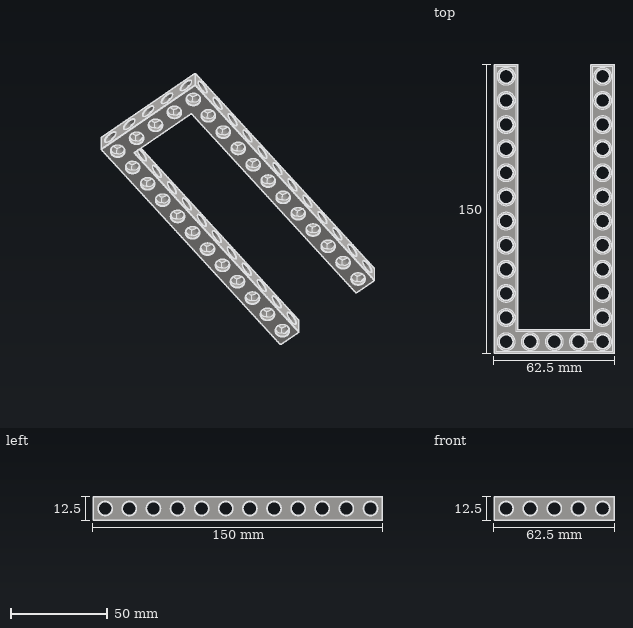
import cadquery as cq
pitch = 12.5
columns = 5
rows = 12
hole_diameter = 7.0
hole_chamfer = 0.3

width = columns * pitch
length = rows * pitch
thickness = pitch
slot_width = width - 2 * pitch
edge_chamfer = 0.3

rim_width = 1.1
relief_depth = 0.2
collar_diameter = 9.2
rib_width = 0.3

mid_height = thickness / 2
column_xs = [(i - (columns - 1) / 2) * pitch for i in range(columns)]
row_ys = [(i - (rows - 1) / 2) * pitch for i in range(rows)]
base_row_y = row_ys[0]
arm_xs = (column_xs[0], column_xs[-1])
base_row = [(x, base_row_y) for x in column_xs]
arm_holes = [(x, y) for x in arm_xs for y in row_ys[1:]]
vertical_holes = base_row + arm_holes


def u_prism(inset, bottom, height):
    """U-shaped prism, open toward +Y, with its outline moved inward by the inset."""
    outer_x = width / 2 - inset
    inner_x = slot_width / 2 + inset
    front_y = -length / 2 + inset
    slot_y = -length / 2 + pitch - inset
    end_y = length / 2 - inset
    outline = [
        (-outer_x, front_y),
        (outer_x, front_y),
        (outer_x, end_y),
        (inner_x, end_y),
        (inner_x, slot_y),
        (-inner_x, slot_y),
        (-inner_x, end_y),
        (-outer_x, end_y),
    ]
    return cq.Workplane("XY", origin=(0, 0, bottom)).polyline(outline).close().extrude(height)


def make_body():
    """Frame with every edge chamfered except the two upright edges in the slot corners."""
    return u_prism(0, 0, thickness).edges("#Z or (|Z and (<Y or >Y))").chamfer(edge_chamfer)


def make_top_relief():
    """Material removed from the top face between the rim, the collars and the rib."""
    floor = thickness - relief_depth
    floor_plane = cq.Workplane("XY", origin=(0, 0, floor))
    collars = floor_plane.pushPoints(vertical_holes).circle(collar_diameter / 2).extrude(relief_depth)
    rib_center = ((column_xs[-2] + column_xs[-1]) / 2, base_row_y)
    rib = floor_plane.center(*rib_center).rect(pitch, rib_width).extrude(relief_depth)
    return u_prism(rim_width, floor, relief_depth).cut(collars).cut(rib)


def hole_cutter(span):
    """Through-hole cutter along Z, centred on the origin, flared by a chamfer at both ends."""
    radius = hole_diameter / 2
    flared_radius = radius + hole_chamfer
    half_span = span / 2
    shoulder = half_span - hole_chamfer
    profile = [
        (0, -half_span),
        (flared_radius, -half_span),
        (radius, -shoulder),
        (radius, shoulder),
        (flared_radius, half_span),
        (0, half_span),
    ]
    return cq.Workplane("XZ").polyline(profile).close().revolve(360, (0, 0, 0), (0, 1, 0))


def cut_along_x(span, x, y):
    """Hole cutter of the given span laid along X, centred on (x, y) at mid height."""
    return hole_cutter(span).rotate((0, 0, 0), (0, 1, 0), 90).translate((x, y, mid_height))


def cut_along_y(span, x, y):
    """Hole cutter of the given span laid along Y, centred on (x, y) at mid height."""
    return hole_cutter(span).rotate((0, 0, 0), (1, 0, 0), 90).translate((x, y, mid_height))


def make_hole_cutters():
    """Cutters for the holes along all three axes."""
    cutters = [hole_cutter(thickness).translate((x, y, mid_height)) for x, y in vertical_holes]

    cutters.append(cut_along_x(width, 0, base_row_y))
    cutters += [cut_along_x(pitch, x, y) for x, y in arm_holes]

    cutters += [cut_along_y(length, x, 0) for x in arm_xs]
    cutters += [cut_along_y(pitch, x, base_row_y) for x in column_xs[1:-1]]
    return [cutter.val() for cutter in cutters]


blank = make_body().cut(make_top_relief())
result = cq.Workplane(blank.val().cut(*make_hole_cutters()))